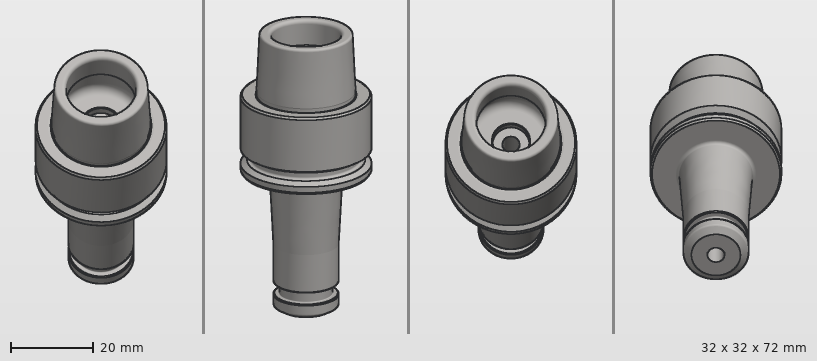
import cadquery as cq
import math

length = 72.0

collar_radius = 16.0
collar_top = 56.0
collar_bottom = 35.9
collar_chamfer_width = 0.4
collar_chamfer_height = 0.6
groove_upper_edge = 42.0
groove_lower_edge = 38.0
groove_shoulder_radius = 14.4
groove_neck_radius = 13.25
groove_flank_angle = math.radians(30)
groove_fillet = 0.6

taper_top_radius = 11.4
taper_base_radius = 12.1
taper_base = 57.0
taper_base_chamfer = 0.3
taper_rim_fillet = 0.65
relief_radius = 12.0
relief_outer_radius = 12.95
relief_inner_radius = 12.3
relief_slope_depth = 0.11
relief_depth = 0.18

mouth_radius = 8.5
mouth_fillet = 1.0
lip_depth = 6.5
cavity_diameter = 20.5
cavity_radius = cavity_diameter / 2
cavity_depth = 14.8
cavity_floor_fillet = 2.15
counterbore_radius = 4.5
counterbore_chamfer = 0.2
counterbore_depth = 2.15
through_hole_radius = 2.1

shank_radius = 8.0
shank_top = 17.1
shank_cone_radius = 8.9
shank_cone_top = 35.1
snap_groove_radius = 6.5
snap_groove_top = 7.05
snap_groove_bottom = 4.1
snap_groove_chamfer = 0.3
snap_groove_root_fillet = 0.2
tip_radius = 6.0
tip_cone_angle = math.radians(30)
tip_cone_height = (shank_radius - tip_radius) * math.tan(tip_cone_angle)
tip_fillet = 0.6


def add_lines(profile, points):
    """Extend a profile with straight lines through (radius, height) points."""
    for point in points:
        profile = profile.lineTo(*point)
    return profile


def revolve_profile(profile):
    """Turn a closed (radius, height) profile about the Z axis."""
    return profile.close().revolve(360, (0, 0, 0), (0, 1, 0))


def ring_edges(body, radius, height):
    """Select the circular edge of a given radius and height."""
    slack = 0.01
    reach = radius + slack
    within_reach = cq.selectors.BoxSelector(
        (-reach, -reach, height - slack), (reach, reach, height + slack), boundingbox=True
    )
    largest = cq.selectors.RadiusNthSelector(-1)
    return body.edges(within_reach).edges(largest)


def make_body():
    """Build the solid outer shape, from the shank tip up to the taper rim."""
    flank_height = (collar_radius - groove_shoulder_radius) * math.tan(groove_flank_angle)
    groove_top = groove_upper_edge - flank_height
    groove_bottom = groove_lower_edge + flank_height
    chamfered_radius = collar_radius - collar_chamfer_width
    shank_fillet = collar_bottom - shank_cone_top
    outline = [
        (tip_radius, 0),
        (shank_radius, tip_cone_height),
        (shank_radius, snap_groove_bottom - snap_groove_chamfer),
        (shank_radius - snap_groove_chamfer, snap_groove_bottom),
        (snap_groove_radius, snap_groove_bottom),
        (snap_groove_radius, snap_groove_top),
        (shank_radius - snap_groove_chamfer, snap_groove_top),
        (shank_radius, snap_groove_top + snap_groove_chamfer),
        (shank_radius, shank_top),
        (shank_cone_radius, shank_cone_top),
    ]
    profile = cq.Workplane("XZ").moveTo(0, 0)
    profile = add_lines(profile, outline)
    profile = profile.radiusArc((shank_cone_radius + shank_fillet, collar_bottom), shank_fillet)
    outline = [
        (chamfered_radius, collar_bottom),
        (collar_radius, collar_bottom + collar_chamfer_height),
        (collar_radius, groove_lower_edge),
        (groove_shoulder_radius, groove_bottom),
        (groove_neck_radius, groove_bottom),
        (groove_neck_radius, groove_top),
        (groove_shoulder_radius, groove_top),
        (collar_radius, groove_upper_edge),
        (collar_radius, collar_top - collar_chamfer_height),
        (chamfered_radius, collar_top),
        (relief_outer_radius, collar_top),
        (relief_inner_radius, collar_top - relief_slope_depth),
        (relief_inner_radius, collar_top - relief_depth),
        (relief_radius, collar_top - relief_depth),
        (relief_radius, taper_base - taper_base_chamfer),
        (taper_base_radius, taper_base),
        (taper_top_radius, length),
        (0, length),
    ]
    profile = add_lines(profile, outline)
    body = revolve_profile(profile)
    body = ring_edges(body, taper_top_radius, length).fillet(taper_rim_fillet)
    body = ring_edges(body, shank_radius, tip_cone_height).fillet(tip_fillet)
    for height in (groove_bottom, groove_top):
        body = ring_edges(body, groove_neck_radius, height).fillet(groove_fillet)
    for height in (snap_groove_bottom, snap_groove_top):
        body = ring_edges(body, snap_groove_radius, height).fillet(snap_groove_root_fillet)
    return body


def make_cavity():
    """Build the clamping cavity, its counterbore and the through hole as one solid."""
    floor = length - cavity_depth
    outline = [
        (through_hole_radius, 0),
        (through_hole_radius, floor - counterbore_depth),
        (counterbore_radius, floor - counterbore_depth),
        (counterbore_radius, floor - counterbore_chamfer),
        (counterbore_radius + counterbore_chamfer, floor),
        (cavity_radius - cavity_floor_fillet, floor),
    ]
    profile = cq.Workplane("XZ").moveTo(0, 0)
    profile = add_lines(profile, outline)
    fillet_end = (cavity_radius, floor + cavity_floor_fillet)
    profile = profile.radiusArc(fillet_end, -cavity_floor_fillet)
    outline = [
        (cavity_radius, length - lip_depth),
        (mouth_radius, length - lip_depth),
        (mouth_radius, length - mouth_fillet),
    ]
    profile = add_lines(profile, outline)
    profile = profile.radiusArc((mouth_radius + mouth_fillet, length), mouth_fillet)
    profile = profile.lineTo(0, length)
    return revolve_profile(profile)


result = make_body().cut(make_cavity())